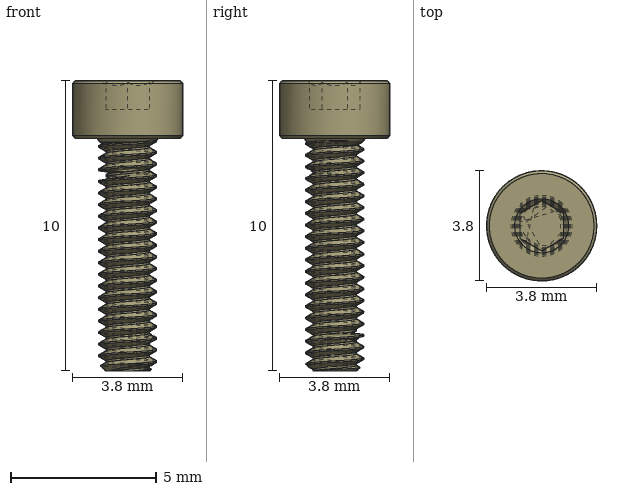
import cadquery as cq
import math


head_diameter = 3.8
head_height = 2.0
head_chamfer = 0.1

hex_across_flats = 1.5
socket_depth = 1.0
countersink_diameter = 1.86
countersink_angle = 45.0

thread_diameter = 2.0
pitch = 0.4
shank_length = 8.0
flank_half_angle = 30.0
depth_per_pitch = 0.6134
thread_depth = depth_per_pitch * pitch
crest_width = pitch / 8
crest_angle = 65.0
root_overlap = 0.01
extra_turns = 4

collar_top_diameter = 2.1
collar_bottom_diameter = 1.92
collar_taper_height = 0.12

head_radius = head_diameter / 2
thread_radius = thread_diameter / 2
root_radius = thread_radius - thread_depth
flank_slope = math.tan(math.radians(flank_half_angle))


def revolve_profile(points):
    """Solid of revolution about Z from (radius, height) points."""
    return cq.Workplane("YZ").polyline(points).close().revolve(360, (0, 0), (0, 1))


def make_head():
    return (
        cq.Workplane("XY")
        .circle(head_radius)
        .extrude(head_height)
        .edges("%CIRCLE")
        .chamfer(head_chamfer)
    )


def make_socket():
    hex_corner_diameter = hex_across_flats / math.cos(math.pi / 6)
    hexagon = (
        cq.Workplane("XY", origin=(0, 0, head_height))
        .transformed(rotate=(0, 0, 90))
        .polygon(6, hex_corner_diameter)
        .extrude(-socket_depth)
    )
    rim_radius = countersink_diameter / 2
    flat_radius = hex_across_flats / 2
    cone_floor = head_height - (rim_radius - flat_radius) * math.tan(math.radians(countersink_angle))
    cone = revolve_profile(
        [(0, head_height), (rim_radius, head_height), (flat_radius, cone_floor), (0, cone_floor)]
    )
    return hexagon.union(cone)


def sweep_along_helix(profile, turns):
    """Solid swept by a polygon of (radius, height) points, with one ruled face per polygon side."""
    length = turns * pitch
    helices = [
        cq.Wire.makeHelix(pitch, length, radius).translate(cq.Vector(0, 0, height)).Edges()[0]
        for radius, height in profile
    ]
    faces = [cq.Face.makeRuledSurface(helices[i - 1], helices[i]) for i in range(len(helices))]
    for end_height in (0, length):
        corners = [cq.Vector(radius, 0, height + end_height) for radius, height in profile]
        faces.append(cq.Face.makeFromWires(cq.Wire.makePolygon(corners, close=True)))
    return cq.Solid.makeSolid(cq.Shell.makeShell(faces))


def make_thread():
    """Helical ridge, rooted slightly inside the core and cut off by the pointed end of the shank."""
    buried_radius = root_radius - root_overlap
    crest_half_width = crest_width / 2
    base_half_width = crest_half_width + (thread_depth + root_overlap) * flank_slope
    turns = math.ceil(shank_length / pitch) + extra_turns
    profile = [
        (buried_radius, -base_half_width),
        (thread_radius, -crest_half_width),
        (thread_radius, crest_half_width),
        (buried_radius, base_half_width),
    ]
    ridge = sweep_along_helix(profile, turns)
    top_height = extra_turns / 2 * pitch
    ridge = ridge.rotate(cq.Vector(), cq.Vector(0, 0, 1), crest_angle)
    ridge = ridge.translate(cq.Vector(0, 0, top_height - turns * pitch))
    envelope_radius = thread_radius + root_overlap
    envelope = revolve_profile(
        [
            (0, -shank_length),
            (root_radius, -shank_length),
            (envelope_radius, envelope_radius - root_radius - shank_length),
            (envelope_radius, head_height),
            (0, head_height),
        ]
    )
    return cq.Workplane(ridge).intersect(envelope)


def make_core():
    return cq.Workplane("XY").circle(root_radius).extrude(-shank_length)


def make_collar():
    bottom_radius = collar_bottom_diameter / 2
    slope_height = (bottom_radius - root_radius) * flank_slope
    return revolve_profile(
        [
            (0, 0),
            (collar_top_diameter / 2, 0),
            (bottom_radius, -collar_taper_height),
            (root_radius, -collar_taper_height - slope_height),
            (0, -collar_taper_height - slope_height),
        ]
    )


shank = make_core().union(make_thread()).union(make_collar())
head = make_head().cut(make_socket())
result = cq.Workplane(shank.union(head).solids().val())